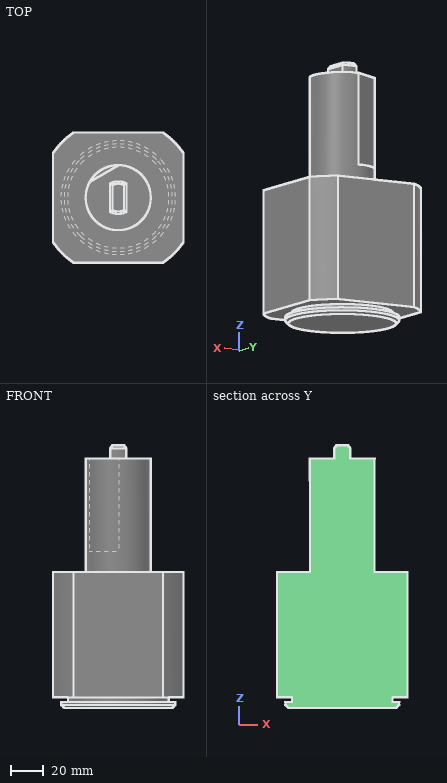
import cadquery as cq
import math

total_height = 161.0
body_width = 80.0
body_corner_diameter = 97.0

flange_diameter = 70.0
flange_height = 3.9
flange_chamfer = 2.0
neck_diameter = 62.0
neck_height = 2.7

body_height = 76.8
shaft_diameter = 40.0
flat_direction = 120.0
flat_distance = 17.0
flat_length = 57.0

tang_width = 10.0
tang_length = 20.0
tang_height = 8.0
tang_chamfer_height = 2.0
tang_chamfer_inset = 1.5

body_bottom = flange_height + neck_height
body_top = body_bottom + body_height
shaft_top = total_height - tang_height


def cylinder(diameter, bottom, top):
    return cq.Workplane("XY").workplane(offset=bottom).circle(diameter / 2).extrude(top - bottom)


def make_base():
    flange = cylinder(flange_diameter, 0, flange_height).faces("<Z").chamfer(flange_chamfer)
    return flange.union(cylinder(neck_diameter, flange_height, body_bottom))


def make_body():
    """Square block whose corners are turned to a common circle."""
    block = (
        cq.Workplane("XY")
        .workplane(offset=body_bottom)
        .rect(body_width, body_width)
        .extrude(body_height)
    )
    return block.intersect(cylinder(body_corner_diameter, body_bottom, body_top))


def make_shaft():
    shaft = cylinder(shaft_diameter, body_top, shaft_top)
    flat_cutter = (
        cq.Workplane("XY")
        .workplane(offset=shaft_top - flat_length)
        .center(flat_distance + shaft_diameter / 2, 0)
        .rect(shaft_diameter, shaft_diameter)
        .extrude(flat_length)
        .rotate((0, 0, 0), (0, 0, 1), flat_direction)
    )
    return shaft.cut(flat_cutter)


def make_tang():
    """Narrow key with rounded ends and a bevelled top edge."""
    bevel_bottom = total_height - tang_chamfer_height
    bevel_angle = math.degrees(math.atan2(tang_chamfer_inset, tang_chamfer_height))
    bar = (
        cq.Workplane("XY")
        .workplane(offset=shaft_top)
        .rect(tang_width, tang_length)
        .extrude(bevel_bottom - shaft_top)
    )
    tang = bar.intersect(cylinder(tang_length, shaft_top, bevel_bottom))
    return tang.faces(">Z").wires().toPending().workplane().extrude(tang_chamfer_height, taper=bevel_angle)


result = make_base().union(make_body()).union(make_shaft()).union(make_tang())